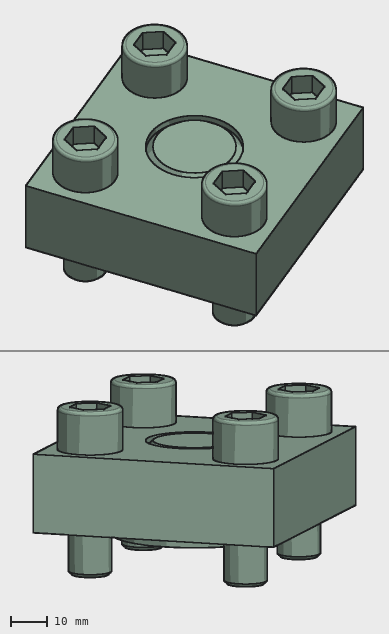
import math
import cadquery as cq

plate_side = 70.0
plate_thickness = 22.0

spigot_diameter = 46.0
spigot_height = 4.0

groove_outer_diameter = 26.9
groove_inner_diameter = 22.9
groove_depth = (groove_outer_diameter - groove_inner_diameter) / 2

bolt_circle_diameter = 64.0
bolt_pitch = bolt_circle_diameter / math.sqrt(2)
shank_diameter = 12.0
shank_projection = 13.0
shank_chamfer = 1.0
head_diameter = 18.0
head_height = 12.0
head_edge_radius = 1.0
hex_across_flats = 10.0
hex_across_corners = 2 * hex_across_flats / math.sqrt(3)
hex_depth = 6.0


def make_flange():
    plate = cq.Workplane("XY").rect(plate_side, plate_side).extrude(plate_thickness)
    spigot = cq.Workplane("XY").circle(spigot_diameter / 2).extrude(-spigot_height)
    return plate.union(spigot).cut(make_groove())


def make_groove():
    """Ring with a straight outer wall and an inner wall that flares outward to meet it at the bottom."""
    inner_radius = groove_inner_diameter / 2
    outer_radius = groove_outer_diameter / 2
    groove_bottom = plate_thickness - groove_depth
    return (
        cq.Workplane("XZ")
        .moveTo(inner_radius, plate_thickness)
        .lineTo(outer_radius, plate_thickness)
        .lineTo(outer_radius, groove_bottom)
        .close()
        .revolve(360, (0, 0, 0), (0, 1, 0))
    )


def make_screw():
    """Cap screw on the Z axis, passing through the plate, with its head resting on the top face."""
    shank = (
        cq.Workplane("XY", origin=(0, 0, -shank_projection))
        .circle(shank_diameter / 2)
        .extrude(shank_projection + plate_thickness)
        .faces("<Z")
        .chamfer(shank_chamfer)
    )
    head = (
        cq.Workplane("XY", origin=(0, 0, plate_thickness))
        .circle(head_diameter / 2)
        .extrude(head_height)
        .faces(">Z")
        .edges()
        .fillet(head_edge_radius)
    )
    hex_socket = (
        cq.Workplane("XY", origin=(0, 0, plate_thickness + head_height))
        .transformed(rotate=(0, 0, 90))
        .polygon(6, hex_across_corners)
        .extrude(-hex_depth)
    )
    return shank.union(head).cut(hex_socket)


result = make_flange()
for x_side in (-1, 1):
    for y_side in (-1, 1):
        screw_position = (x_side * bolt_pitch / 2, y_side * bolt_pitch / 2, 0)
        result = result.union(make_screw().translate(screw_position))